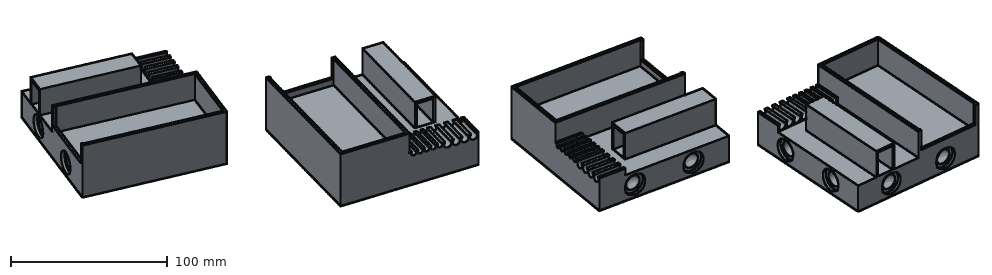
import cadquery as cq

SIDE = 100.0
BASE_HEIGHT = 20.0
TOTAL_HEIGHT = 40.0

TRAY_X = SIDE / 2
TRAY_WALL = 2.0
TRAY_FLOOR_Z = BASE_HEIGHT
LIP_Z = 25.0
FRONT_OPENING_MARGIN = 2.5

TUBE_X = 15.0
TUBE_WIDTH = 15.0
TUBE_LENGTH = 70.0
BORE_WIDTH = 11.8
BORE_HEIGHT = 18.2
TUBE_WALL = (TUBE_WIDTH - BORE_WIDTH) / 2
BORE_FLOOR_Z = TOTAL_HEIGHT - TUBE_WALL - BORE_HEIGHT

RACK_LENGTH = 20.0
RACK_TOP_Z = 25.0
RACK_HALF = TRAY_X / 2
LARGE_COUNT = 4
LARGE_WALL = 1.0
LARGE_PITCH = RACK_HALF / LARGE_COUNT
LARGE_DIAMETER = LARGE_PITCH - LARGE_WALL
LARGE_DEPTH = 4.55
SMALL_COUNT = 5
SMALL_DIAMETER = 3.4
SMALL_WALL = (RACK_HALF - SMALL_COUNT * SMALL_DIAMETER) / (SMALL_COUNT + 1)
SMALL_PITCH = SMALL_DIAMETER + SMALL_WALL
SMALL_DEPTH = 2.75

SOCKET_SPACING = 45.0
SOCKET_Z = BASE_HEIGHT / 2
RECESS_DIAMETER = 15.5
RECESS_DEPTH = 2.5
BALL_DIAMETER = 10.5
BALL_CENTER_DEPTH = 3.5


def box(x, y, z, length, width, height):
    """Box placed by its minimum corner."""
    return cq.Workplane("XY").box(length, width, height, centered=False).translate((x, y, z))


def add_tray(body):
    """Raised block, hollowed from above and opened at the front above a low lip."""
    tray_width = SIDE - TRAY_X
    block = box(TRAY_X, 0, BASE_HEIGHT, tray_width, SIDE, TOTAL_HEIGHT - BASE_HEIGHT)
    pocket = box(
        TRAY_X + TRAY_WALL,
        TRAY_WALL,
        TRAY_FLOOR_Z,
        tray_width - 2 * TRAY_WALL,
        SIDE - 2 * TRAY_WALL,
        TOTAL_HEIGHT - TRAY_FLOOR_Z,
    )
    opening = box(
        TRAY_X + FRONT_OPENING_MARGIN,
        0,
        LIP_Z,
        tray_width - 2 * FRONT_OPENING_MARGIN,
        TRAY_WALL,
        TOTAL_HEIGHT - LIP_Z,
    )
    return body.union(block.cut(pocket).cut(opening))


def add_tube(body):
    """Rectangular tube open at both ends."""
    outer = box(TUBE_X, 0, BASE_HEIGHT, TUBE_WIDTH, TUBE_LENGTH, TOTAL_HEIGHT - BASE_HEIGHT)
    bore = box(TUBE_X + TUBE_WALL, 0, BORE_FLOOR_Z, BORE_WIDTH, TUBE_LENGTH, BORE_HEIGHT)
    return body.union(outer.cut(bore))


def cut_grooves(rack, first_x, pitch, count, diameter, depth):
    """Cut a row of round grooves running along Y through the rack."""
    axis_z = RACK_TOP_Z - depth + diameter / 2
    for index in range(count):
        groove = (
            cq.Workplane("XZ", origin=(first_x + index * pitch, SIDE, axis_z))
            .circle(diameter / 2)
            .extrude(RACK_LENGTH)
        )
        rack = rack.cut(groove)
    return rack


def add_rack(body):
    """Raised strip with large grooves on its left half and small ones on its right half."""
    rack = box(0, SIDE - RACK_LENGTH, BASE_HEIGHT, TRAY_X, RACK_LENGTH, RACK_TOP_Z - BASE_HEIGHT)
    first_large_x = LARGE_WALL + LARGE_DIAMETER / 2
    first_small_x = RACK_HALF + SMALL_WALL + SMALL_DIAMETER / 2
    rack = cut_grooves(rack, first_large_x, LARGE_PITCH, LARGE_COUNT, LARGE_DIAMETER, LARGE_DEPTH)
    rack = cut_grooves(rack, first_small_x, SMALL_PITCH, SMALL_COUNT, SMALL_DIAMETER, SMALL_DEPTH)
    return body.union(rack)


def make_socket(plane):
    """Round recess, then a short narrower neck ending in a hemispherical bottom."""
    recess = cq.Workplane(plane).circle(RECESS_DIAMETER / 2).extrude(-RECESS_DEPTH)
    ball = cq.Workplane(plane).workplane(offset=-BALL_CENTER_DEPTH).sphere(BALL_DIAMETER / 2)
    neck = cq.Workplane(plane).circle(BALL_DIAMETER / 2).extrude(-BALL_CENTER_DEPTH)
    return recess.union(neck).union(ball)


def cut_sockets(body):
    """Two sockets in the front face and two in the left face."""
    for sign in (-1, 1):
        along = (SIDE + sign * SOCKET_SPACING) / 2
        front_face = cq.Plane(origin=(along, 0, SOCKET_Z), xDir=(1, 0, 0), normal=(0, -1, 0))
        left_face = cq.Plane(origin=(0, along, SOCKET_Z), xDir=(0, 1, 0), normal=(-1, 0, 0))
        body = body.cut(make_socket(front_face)).cut(make_socket(left_face))
    return body


base = box(0, 0, 0, SIDE, SIDE, BASE_HEIGHT)
result = cut_sockets(add_rack(add_tube(add_tray(base))))